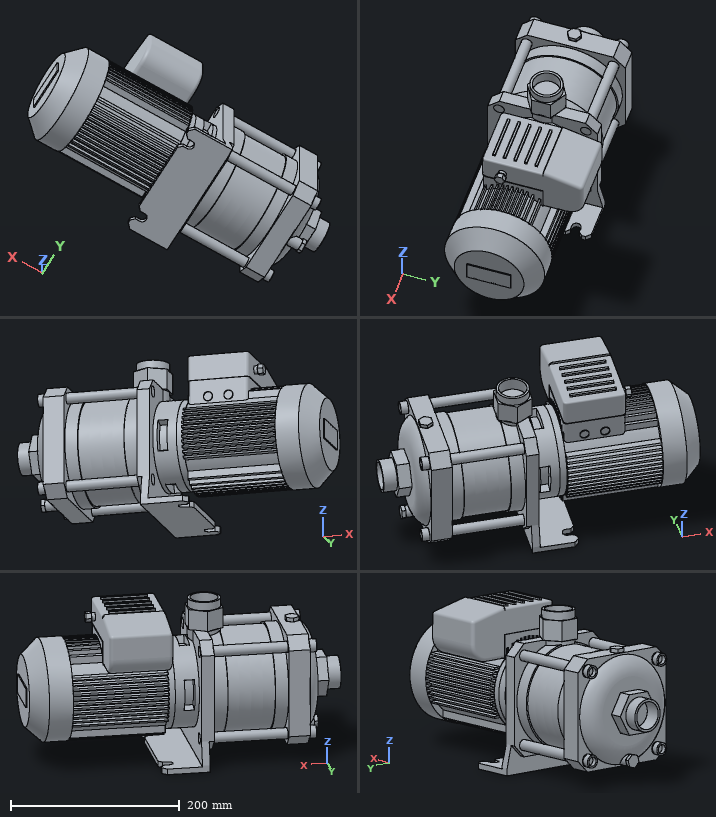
import cadquery as cq
import math


hex_start = 16.5
dome_face = 32.5
head_plate_start = 46.0
head_plate_end = 71.7
barrel_start = 87.5
barrel_end = 144.5
rear_plate_start = 161.8
rear_plate_end = 177.5
window_start = 182.8
window_end = 195.0
motor_start = 206.5
stator_start = 215.0
fan_cover_start = 330.5
fan_cone_start = 359.5
fan_cone_end = 380.0
overall_length = 381.5

port_diameter = 39.5
port_bore = 33.5
inlet_hex_flats = 49.2
inlet_bore_depth = 20.0
outlet_x = 161.8
outlet_hex_flats = 41.5
outlet_hex_bottom = 68.3
outlet_hex_top = 93.5
outlet_top = 103.8
outlet_bore_depth = 15.3

plate_side = 137.5
plate_chamfer = 15.0
dome_flat_radius = 42.0
dome_edge_radius = 66.5
collar_diameter = 130.0
barrel_diameter = 126.0
stage_count = 4

rod_offset = 54.0
rod_diameter = 13.5
rod_head_diameter = 15.5
rod_head_length = 9.0
rod_socket_diameter = 11.0
rod_socket_depth = 5.7

plug_hex_flats = 15.3
plug_hex_height = 5.0
plug_shank_diameter = 15.0
plug_shank_length = 19.0
vent_x = 55.7
drain_z = -59.5
drain_head_end = 30.0
drain_turn = 16.0

lantern_diameter = 110.0
window_floor_radius = 44.5
window_width = 38.0

foot_start = 168.0
foot_end = 225.5
foot_bottom = -90.0
foot_thickness = 7.3
foot_half_width = 75.0
foot_straight_height = 8.5
foot_notch_y = 54.5
foot_notch_width = 11.0
foot_notch_center_x = 215.0
foot_corner_chamfer = 5.7
foot_mouth_chamfer = 4.5

fan_cover_diameter = 125.0
fan_cone_end_radius = 43.5
end_badge_width = 55.0
end_badge_height = 23.5
stator_radius = 54.5
fin_tip_radius = 62.0
fin_thickness = 2.3
side_fin_pitch = 5.9
side_fins_each_way = 5
upright_fin_offsets = (6.0, 12.2, 18.5, 25.5, 34.0)

box_end = 291.0
box_front_y = -38.5
box_back_y = 37.8
box_bottom = 39.3
box_seam = 68.5
box_top = 100.0
box_inset = 0.8
box_corner_radius = 4.5
lid_top_radius = 2.3
entry_diameter = 11.0
entry_depth = 1.0
entry_z = 48.0
entry_xs = (240.5, 265.5)
louver_start = 225.0
louver_end = 281.5
louver_width = 3.0
louver_height = 2.3
louver_pitch = 13.15
louver_count = 5
enclosure_outer_y = 88.0
enclosure_ridge = 102.5
enclosure_eave = 91.5
enclosure_bend_radius = 22.5
enclosure_edge_radius = 4.5

gland_y = -12.5
gland_z = 83.0
gland_diameter = 10.0
gland_length = 4.5
gland_hex_flats = 11.5
gland_hex_length = 7.0


def hex_diameter(flats):
    """Diameter across the corners of a hexagon given its size across the flats."""
    return flats / math.cos(math.pi / 6)


def shaft_plane(x):
    """Plane square to the shaft, with Y and Z as its own axes."""
    return cq.Workplane("YZ", origin=(x, 0, 0))


def shaft_cylinder(x_start, x_end, diameter):
    return shaft_plane(x_start).circle(diameter / 2).extrude(x_end - x_start)


def block(x_range, y_range, z_range):
    corner = (x_range[0], y_range[0], z_range[0])
    return cq.Workplane("XY").box(
        x_range[1] - x_range[0],
        y_range[1] - y_range[0],
        z_range[1] - z_range[0],
        centered=False,
    ).translate(corner)


def end_plate(x_start, x_end):
    plate = shaft_plane(x_start).rect(plate_side, plate_side).extrude(x_end - x_start)
    return plate.edges("|X").chamfer(plate_chamfer)



rod_places = [(y, z) for y in (-rod_offset, rod_offset) for z in (-rod_offset, rod_offset)]


def rod_shank(y, z):
    shank = shaft_cylinder(head_plate_start, rear_plate_end, rod_diameter)
    return shank.translate((0, y, z))


def tie_rod(y, z):
    head_start = head_plate_start - rod_head_length
    head = shaft_cylinder(head_start, head_plate_start, rod_head_diameter)
    socket = shaft_cylinder(head_start, head_start + rod_socket_depth, rod_socket_diameter)
    return rod_shank(y, z).union(head.cut(socket).translate((0, y, z)))




def hex_plug():
    """Plug on the Z axis: the shank goes down from Z = 0 and the head stands above it."""
    head = cq.Workplane("XY").polygon(6, hex_diameter(plug_hex_flats)).extrude(plug_hex_height)
    shank = cq.Workplane("XY").circle(plug_shank_diameter / 2).extrude(-plug_shank_length)
    return head.union(shank)


def vent_plug():
    corners_along_y = hex_plug().rotate((0, 0, 0), (0, 0, 1), 90)
    return corners_along_y.translate((vent_x, 0, plate_side / 2))


def drain_plug():
    turned = hex_plug().rotate((0, 0, 0), (0, 0, 1), drain_turn)
    facing_inlet = turned.rotate((0, 0, 0), (0, 1, 0), -90)
    return facing_inlet.translate((drain_head_end, 0, drain_z))




def inlet_dome():
    """Dome with a flat face, whose rounded shoulder leaves the face at a right angle."""
    depth = head_plate_start - dome_face
    rise = dome_edge_radius - dome_flat_radius
    shoulder_radius = (depth**2 + rise**2) / (2 * depth)
    half_sweep = math.asin(rise / shoulder_radius) / 2
    middle = (
        dome_face + shoulder_radius * (1 - math.cos(half_sweep)),
        dome_flat_radius + shoulder_radius * math.sin(half_sweep),
    )
    profile = (
        cq.Workplane("XY")
        .moveTo(dome_face, 0)
        .lineTo(dome_face, dome_flat_radius)
        .threePointArc(middle, (head_plate_start, dome_edge_radius))
        .lineTo(head_plate_start, 0)
        .close()
    )
    return profile.revolve(360, (0, 0, 0), (1, 0, 0))


def inlet_head():
    pipe = shaft_cylinder(0, hex_start, port_diameter)
    nut = shaft_plane(hex_start).polygon(6, hex_diameter(inlet_hex_flats))
    head = (
        end_plate(head_plate_start, head_plate_end)
        .union(inlet_dome())
        .union(nut.extrude(dome_face - hex_start))
        .union(pipe)
        .union(shaft_cylinder(head_plate_end, barrel_start, collar_diameter))
        .cut(shaft_cylinder(0, inlet_bore_depth, port_bore))
        .cut(vent_plug())
        .cut(drain_plug())
    )
    for y, z in rod_places:
        head = head.cut(rod_shank(y, z))
    return head




def pump_barrel():
    """One barrel whose outer face is divided into equal stages."""
    stage_length = (barrel_end - barrel_start) / stage_count
    barrel = shaft_cylinder(barrel_start, barrel_start + stage_length, barrel_diameter)
    for stage in range(1, stage_count):
        x = barrel_start + stage * stage_length
        barrel = barrel.union(shaft_cylinder(x, x + stage_length, barrel_diameter), clean=False)
    return barrel




def upright_cylinder(z_start, z_end, diameter):
    plane = cq.Workplane("XY", origin=(outlet_x, 0, z_start))
    return plane.circle(diameter / 2).extrude(z_end - z_start)


def outlet_port():
    """Outlet pipe with its hexagon, trimmed where it rests on the barrel."""
    nut = (
        cq.Workplane("XY", origin=(outlet_x, 0, outlet_hex_bottom))
        .transformed(rotate=(0, 0, 90))
        .polygon(6, hex_diameter(outlet_hex_flats))
        .extrude(outlet_hex_top - outlet_hex_bottom)
    )
    pipe = upright_cylinder(0, outlet_top, port_diameter)
    barrel_space = shaft_cylinder(barrel_start, barrel_end, barrel_diameter)
    return pipe.cut(barrel_space).union(nut)


def lantern():
    """Round neck with four windows that have radial side walls."""
    neck = shaft_cylinder(rear_plate_end, window_start, lantern_diameter)
    neck = neck.union(shaft_cylinder(window_start, motor_start, lantern_diameter), clean=False)
    half_angle = math.asin(window_width / lantern_diameter)
    reach = lantern_diameter
    half_spread = reach * math.tan(half_angle)
    wedge = (
        shaft_plane(window_start)
        .polyline([(0, 0), (reach, -half_spread), (reach, half_spread)])
        .close()
        .extrude(window_end - window_start)
        .cut(shaft_cylinder(window_start, window_end, 2 * window_floor_radius))
    )
    for quarter in range(4):
        neck = neck.cut(wedge.rotate((0, 0, 0), (1, 0, 0), 90 * quarter), clean=False)
    return neck


def foot_notch(side):
    """Round-ended notch in the free edge of the foot, with a bevelled mouth."""
    half_width = foot_notch_width / 2
    mouth_half_width = half_width + foot_mouth_chamfer
    outline = (
        cq.Workplane("XY", origin=(0, side * foot_notch_y, foot_bottom))
        .moveTo(foot_end, mouth_half_width)
        .lineTo(foot_end - foot_mouth_chamfer, half_width)
        .lineTo(foot_notch_center_x, half_width)
        .threePointArc((foot_notch_center_x - half_width, 0), (foot_notch_center_x, -half_width))
        .lineTo(foot_end - foot_mouth_chamfer, -half_width)
        .lineTo(foot_end, -mouth_half_width)
        .close()
    )
    return outline.extrude(foot_thickness)


def foot():
    plate_half = plate_side / 2
    wall_top = plate_chamfer - plate_half
    straight_top = foot_bottom + foot_straight_height
    wall = (
        shaft_plane(foot_start)
        .moveTo(-foot_half_width, foot_bottom)
        .lineTo(foot_half_width, foot_bottom)
        .lineTo(foot_half_width, straight_top)
        .lineTo(plate_half, wall_top)
        .lineTo(-plate_half, wall_top)
        .lineTo(-foot_half_width, straight_top)
        .close()
        .extrude(rear_plate_end - foot_start)
    )
    base = block(
        (foot_start, foot_end),
        (-foot_half_width, foot_half_width),
        (foot_bottom, foot_bottom + foot_thickness),
    )
    base = base.edges("|Z and >X").chamfer(foot_corner_chamfer)
    for side in (-1, 1):
        base = base.cut(foot_notch(side))
    return wall.union(base)


def outlet_bracket():
    bracket = (
        end_plate(rear_plate_start, rear_plate_end)
        .union(shaft_cylinder(barrel_end, rear_plate_start, collar_diameter))
        .union(outlet_port())
        .union(foot())
        .union(lantern(), clean=False)
        .cut(upright_cylinder(outlet_top - outlet_bore_depth, outlet_top, port_bore), clean=False)
    )
    for y, z in rod_places:
        bracket = bracket.cut(rod_shank(y, z), clean=False)
    return bracket




def fins_across(offsets):
    """Parallel fins standing up and down, centred on the given Y offsets."""
    length = fan_cover_start - stator_start
    fins = shaft_plane(stator_start).pushPoints([(offset, 0) for offset in offsets])
    fins = fins.rect(fin_thickness, 2 * fin_tip_radius).extrude(length)
    return fins.intersect(shaft_cylinder(stator_start, fan_cover_start, 2 * fin_tip_radius))


def stator():
    upright_offsets = [0]
    for offset in upright_fin_offsets:
        upright_offsets += [-offset, offset]
    side_steps = range(-side_fins_each_way, side_fins_each_way + 1)
    side_fins = fins_across([step * side_fin_pitch for step in side_steps])
    return (
        shaft_cylinder(stator_start, fan_cover_start, 2 * stator_radius)
        .union(fins_across(upright_offsets))
        .union(side_fins.rotate((0, 0, 0), (1, 0, 0), 90))
    )


def fan_cover():
    cover_radius = fan_cover_diameter / 2
    outline = [
        (fan_cover_start, 0),
        (fan_cover_start, cover_radius),
        (fan_cone_start, cover_radius),
        (fan_cone_end, fan_cone_end_radius),
        (fan_cone_end, 0),
    ]
    cover = cq.Workplane("XY").polyline(outline).close().revolve(360, (0, 0, 0), (1, 0, 0))
    badge = shaft_plane(fan_cone_end).rect(end_badge_width, end_badge_height)
    return cover.union(badge.extrude(overall_length - fan_cone_end))


def terminal_box_base():
    base = block(
        (stator_start + box_inset, box_end - box_inset),
        (box_front_y + box_inset, box_back_y),
        (box_bottom, box_seam),
    )
    base = base.edges("|Z and <Y").fillet(box_corner_radius)
    entries = (
        cq.Workplane("XZ", origin=(0, box_front_y + box_inset, 0))
        .pushPoints([(x, entry_z) for x in entry_xs])
        .circle(entry_diameter / 2)
        .extrude(-entry_depth)
    )
    return base.cut(entries)


def terminal_box_lid():
    lid = block((stator_start, box_end), (box_front_y, box_back_y), (box_seam, box_top))
    lid = lid.edges("|Z and <Y").fillet(box_corner_radius)
    lid = lid.faces(">Z").edges("not(>Y)").fillet(lid_top_radius)
    for step in range(louver_count):
        y = (step - (louver_count - 1) / 2) * louver_pitch
        louver = block(
            (louver_start, louver_end),
            (y - louver_width / 2, y + louver_width / 2),
            (box_top, box_top + louver_height),
        )
        lid = lid.union(louver)
    return lid


def side_enclosure():
    """Enclosure beside the terminal box, with a sloping roof and a rounded lower edge."""
    bend_center_y = enclosure_outer_y - enclosure_bend_radius
    bend_center_z = box_bottom + enclosure_bend_radius
    bend_step = enclosure_bend_radius * math.sqrt(0.5)
    enclosure = (
        shaft_plane(stator_start)
        .moveTo(box_back_y, box_bottom)
        .lineTo(bend_center_y, box_bottom)
        .threePointArc(
            (bend_center_y + bend_step, bend_center_z - bend_step),
            (enclosure_outer_y, bend_center_z),
        )
        .lineTo(enclosure_outer_y, enclosure_eave)
        .lineTo(box_back_y, enclosure_ridge)
        .close()
        .extrude(box_end - stator_start)
    )
    eave_middle = ((stator_start + box_end) / 2, enclosure_outer_y, enclosure_eave)
    eave = cq.selectors.NearestToPointSelector(eave_middle)
    enclosure = enclosure.edges(eave).fillet(enclosure_edge_radius)
    return enclosure.faces("<X or >X").edges("not(<Y)").fillet(enclosure_edge_radius)


def lid_gland():
    stub_end = box_end + gland_length
    stub = shaft_cylinder(box_end, stub_end, gland_diameter)
    nut = shaft_plane(stub_end).polygon(6, hex_diameter(gland_hex_flats)).extrude(gland_hex_length)
    return stub.union(nut).translate((0, gland_y, gland_z))


def motor_unit():
    return (
        stator()
        .union(shaft_cylinder(motor_start, stator_start, lantern_diameter))
        .union(fan_cover())
        .union(terminal_box_base())
        .union(terminal_box_lid())
        .union(side_enclosure())
        .union(lid_gland())
    )



head = inlet_head()
barrel = pump_barrel()
bracket = outlet_bracket()
motor = motor_unit()
vent = vent_plug()
drain = drain_plug()
tie_rods = [tie_rod(y, z).val() for y, z in rod_places]

result = cq.Compound.makeCompound(
    [head.val(), barrel.val(), bracket.val(), motor.val(), vent.val(), drain.val(), *tie_rods]
)